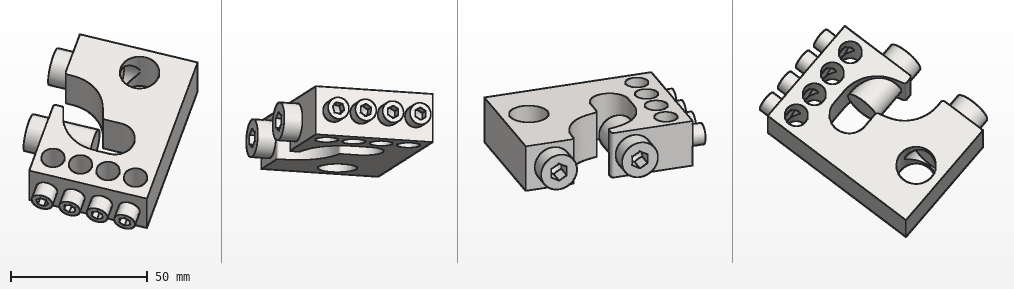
import cadquery as cq
import math

plate_width = 45.0
plate_length = 65.0
plate_height = 18.0
mid_height = plate_height / 2

bar_diameter = 14.5
bar_radius = bar_diameter / 2
bar_x = 26.0
bar_hole_y = 54.45
slot_y = 23.0

entry_y = 38.8
lean_angle = math.radians(15)
passage_mid_x = 11.4
bend_radius = 15.5
corner_radius = 1.0

rod_count = 4
rod_pitch = 10.5
rod_diameter = 8.5
rod_y = 8.0
rod_xs = [plate_width / 2 + (i - (rod_count - 1) / 2) * rod_pitch for i in range(rod_count)]

bar_screw_diameter = 14.0
bar_screw_length = 25.0
bar_screw_protrusion = 6.95
bar_screw_hex = 5.95
bar_screw_socket_depth = 5.95

rod_screw_diameter = 8.0
rod_screw_length = 10.0
rod_screw_protrusion = 6.0
rod_screw_hex = 4.0
rod_screw_socket_depth = 4.0
rod_screw_turns = [-42, -123, 0, 0]

socket_point_angle = math.radians(118)


def passage_x(y, side):
    """X of the leaning passage at height y: its left wall (side -1) or right wall (side 1)."""
    centre_x = passage_mid_x - (y - (entry_y + slot_y) / 2) * math.tan(lean_angle)
    return centre_x + side * bar_radius / math.cos(lean_angle)


def round_upright_edges(body, points, radius):
    """Fillet the upright edges that stand at the given plan points."""
    for x, y in points:
        edge = cq.selectors.NearestToPointSelector((x, y, mid_height))
        body = body.edges("|Z").edges(edge).fillet(radius)
    return body


def make_hooked_plate():
    entry_top = entry_y + bar_radius
    entry_bottom = entry_y - bar_radius
    slot_top = slot_y + bar_radius
    slot_bottom = slot_y - bar_radius

    mouth_top = (0, entry_top)
    upper_bend = (passage_x(entry_top, 1), entry_top)
    nose = (passage_x(slot_top, 1), slot_top)
    lower_bend = (passage_x(slot_bottom, -1), slot_bottom)
    tip_inner = (passage_x(entry_bottom, -1), entry_bottom)
    tip_outer = (0, entry_bottom)

    plate = (
        cq.Workplane("XY")
        .moveTo(0, 0)
        .lineTo(plate_width, 0)
        .lineTo(plate_width, plate_length)
        .lineTo(0, plate_length)
        .lineTo(*mouth_top)
        .lineTo(*upper_bend)
        .lineTo(*nose)
        .lineTo(bar_x, slot_top)
        .threePointArc((bar_x + bar_radius, slot_y), (bar_x, slot_bottom))
        .lineTo(*lower_bend)
        .lineTo(*tip_inner)
        .lineTo(*tip_outer)
        .close()
        .extrude(plate_height)
    )
    plate = round_upright_edges(plate, [upper_bend, lower_bend], bend_radius)
    return round_upright_edges(plate, [mouth_top, nose, tip_inner, tip_outer], corner_radius)


def upright_hole(x, y, diameter):
    return cq.Workplane("XY").center(x, y).circle(diameter / 2).extrude(plate_height)


def left_plane(x, y):
    """Plane facing out of the left side, with its own X pointing up."""
    return cq.Plane(origin=(x, y, mid_height), xDir=(0, 0, 1), normal=(-1, 0, 0))


def front_plane(x, y):
    """Plane facing out of the front side, with its own X pointing up."""
    return cq.Plane(origin=(x, y, mid_height), xDir=(0, 0, 1), normal=(0, -1, 0))


def make_clamp_plate():
    plate = make_hooked_plate()
    plate = plate.cut(upright_hole(bar_x, bar_hole_y, bar_diameter))
    for x in rod_xs:
        plate = plate.cut(upright_hole(x, rod_y, rod_diameter))
    for y in (bar_hole_y, slot_y):
        bore = cq.Workplane(left_plane(0, y)).circle(bar_screw_diameter / 2).extrude(-bar_x)
        plate = plate.cut(bore)
    for x in rod_xs:
        bore = cq.Workplane(front_plane(x, 0)).circle(rod_screw_diameter / 2).extrude(-rod_y)
        plate = plate.cut(bore)
    return plate


def make_set_screw(plane, diameter, length, hex_flats, socket_depth):
    """Headless screw whose outer end lies on the plane, with a hex socket ending in a cone."""
    corner_reach = hex_flats / math.sqrt(3)
    point_depth = socket_depth + corner_reach / math.tan(socket_point_angle / 2)
    hexagon = cq.Workplane(plane).polygon(6, 2 * corner_reach).extrude(-point_depth)
    pointed_bore = (
        cq.Workplane(cq.Plane(origin=plane.origin, xDir=plane.xDir, normal=plane.yDir))
        .polyline([(0, 0), (corner_reach, 0), (corner_reach, socket_depth), (0, point_depth)])
        .close()
        .revolve(360, (0, 0), (0, 1))
    )
    body = cq.Workplane(plane).circle(diameter / 2).extrude(-length)
    return body.cut(hexagon.intersect(pointed_bore))


def make_bar_screw(y):
    return make_set_screw(
        left_plane(-bar_screw_protrusion, y),
        bar_screw_diameter, bar_screw_length, bar_screw_hex, bar_screw_socket_depth,
    )


def make_rod_screw(x, turn):
    screw = make_set_screw(
        front_plane(x, -rod_screw_protrusion),
        rod_screw_diameter, rod_screw_length, rod_screw_hex, rod_screw_socket_depth,
    )
    return screw.rotate((x, 0, mid_height), (x, -1, mid_height), turn)


clamp_plate = make_clamp_plate()
bar_screws = [make_bar_screw(y) for y in (bar_hole_y, slot_y)]
rod_screws = [make_rod_screw(x, turn) for x, turn in zip(rod_xs, rod_screw_turns)]

result = cq.Compound.makeCompound([
    clamp_plate.val(),
    *[screw.val() for screw in bar_screws],
    *[screw.val() for screw in rod_screws],
])